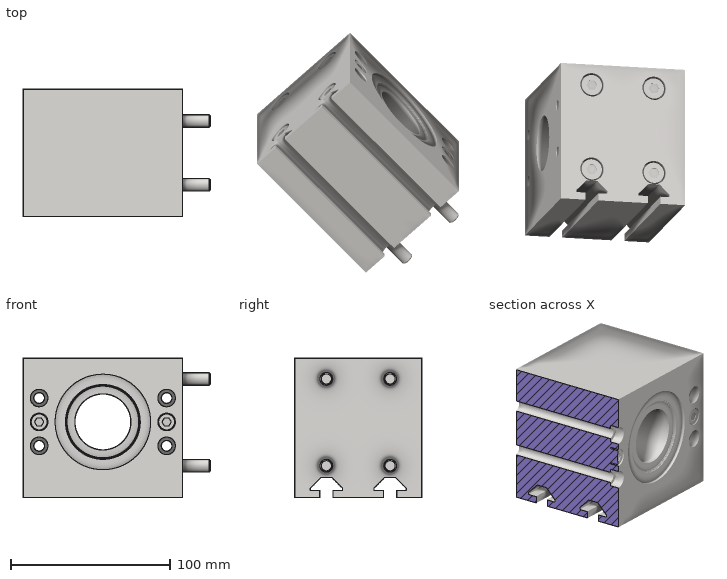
import cadquery as cq
import math


block_length = 100.0
block_depth = 80.0
block_height = 87.5
axis_height = 47.5
side_x = block_length / 2
front_y = -block_depth / 2
bottom_z = -axis_height

bore_diameter = 35.0
recess_diameter = 60.0
recess_depth = 1.9
seat_diameter = 47.0
seat_step_width = 0.5
seat_depth = 1.2
seat_step_count = 3
seat_step_height = seat_depth / seat_step_count

slot_spacing = block_depth / 2
slot_mouth_width = 8.2
slot_width = 20.0
slot_roof_width = 7.0
slot_lip = 4.6
slot_height = 12.5
slot_shoulder = slot_height - (slot_width - slot_roof_width) / 2

clamp_diameter = 8.0
clamp_head_diameter = 13.0
clamp_counterbore = 15.0
clamp_head_height = 8.0
clamp_head_sink = 0.6
clamp_hex = 6.0
clamp_hex_depth = 0.5
clamp_projection = 17.4
clamp_tip_chamfer = 0.8
clamp_levels = (20.0, 74.5)

face_column_x = 40.0
face_hole_offset = 15.0
face_hole_diameter = 6.6
face_counterbore = 11.0
face_counterbore_depth = 6.5
face_head_diameter = 10.0
face_head_sink = 0.5
face_hex = 5.0
face_hex_depth = 0.5


def rod_y(x, z, start, length, diameter):
    """Cylinder along +Y, beginning at the given Y."""
    return cq.Workplane(cq.Solid.makeCylinder(
        diameter / 2, length, cq.Vector(x, start, z), cq.Vector(0, 1, 0)))


def rod_x(y, z, start, length, diameter):
    """Cylinder along +X, beginning at the given X."""
    return cq.Workplane(cq.Solid.makeCylinder(
        diameter / 2, length, cq.Vector(start, y, z), cq.Vector(1, 0, 0)))


def corner_diameter(across_flats):
    """Circumscribed diameter of a hexagon."""
    return across_flats / math.cos(math.pi / 6)


def make_block():
    """Plain block, placed so that the bore axis is at Z = 0."""
    return cq.Workplane("XY").box(block_length, block_depth, block_height).translate(
        (0, 0, bottom_z + block_height / 2))


def cut_bearing(body):
    """Front recess, the stepped bearing seat inside it and the through bore."""
    body = body.cut(rod_y(0, 0, front_y, recess_depth, recess_diameter))
    for step in range(seat_step_count):
        step_depth = recess_depth + (step + 1) * seat_step_height
        step_diameter = seat_diameter - 2 * step * seat_step_width
        body = body.cut(rod_y(0, 0, front_y, step_depth, step_diameter))
    return body.cut(rod_y(0, 0, front_y, block_depth, bore_diameter))


def cut_slot(body, y):
    """T-slot with 45 degree flanks over the full length."""
    right_half = [
        (slot_mouth_width / 2, 0),
        (slot_mouth_width / 2, slot_lip),
        (slot_width / 2, slot_lip),
        (slot_width / 2, slot_shoulder),
        (slot_roof_width / 2, slot_height),
    ]
    left_half = [(-across, up) for across, up in reversed(right_half)]
    slot = cq.Workplane("YZ").polyline(right_half + left_half).close().extrude(block_length)
    return body.cut(slot.translate((-side_x, y, bottom_z)))


def add_clamp_screw(body, y, z):
    """Recessed socket head at -X, plain shank end standing out at +X."""
    counterbore_depth = clamp_head_sink + clamp_head_height
    counterbore = rod_x(y, z, -side_x, counterbore_depth, clamp_counterbore)
    head = rod_x(y, z, -side_x + clamp_head_sink, clamp_head_height, clamp_head_diameter)
    socket = (
        cq.Workplane("YZ")
        .polygon(6, corner_diameter(clamp_hex))
        .extrude(clamp_hex_depth)
        .translate((-side_x + clamp_head_sink, y, z))
    )
    tip = rod_x(y, z, side_x, clamp_projection, clamp_diameter).faces(">X").chamfer(clamp_tip_chamfer)
    return body.cut(counterbore.cut(head)).cut(socket).union(tip)


def cut_face_hole(body, x, z):
    """Counterbored hole through the whole depth."""
    hole = rod_y(x, z, front_y, block_depth, face_hole_diameter)
    counterbore = rod_y(x, z, front_y, face_counterbore_depth, face_counterbore)
    return body.cut(hole).cut(counterbore)


def cut_face_screw(body, x):
    """Socket head sunk in its counterbore, with a clearance ring round it."""
    counterbore = rod_y(x, 0, front_y, face_counterbore_depth, face_counterbore)
    head_length = face_counterbore_depth - face_head_sink
    head = rod_y(x, 0, front_y + face_head_sink, head_length, face_head_diameter)
    socket = (
        cq.Workplane("XZ")
        .polygon(6, corner_diameter(face_hex))
        .extrude(-face_hex_depth)
        .translate((x, front_y + face_head_sink, 0))
    )
    return body.cut(counterbore.cut(head)).cut(socket)


result = cut_bearing(make_block())

for half_y in (-slot_spacing / 2, slot_spacing / 2):
    for level in clamp_levels:
        result = add_clamp_screw(result, half_y, bottom_z + level)
    result = cut_slot(result, half_y)

for column_x in (-face_column_x, face_column_x):
    result = cut_face_screw(result, column_x)
    for hole_z in (-face_hole_offset, face_hole_offset):
        result = cut_face_hole(result, column_x, hole_z)